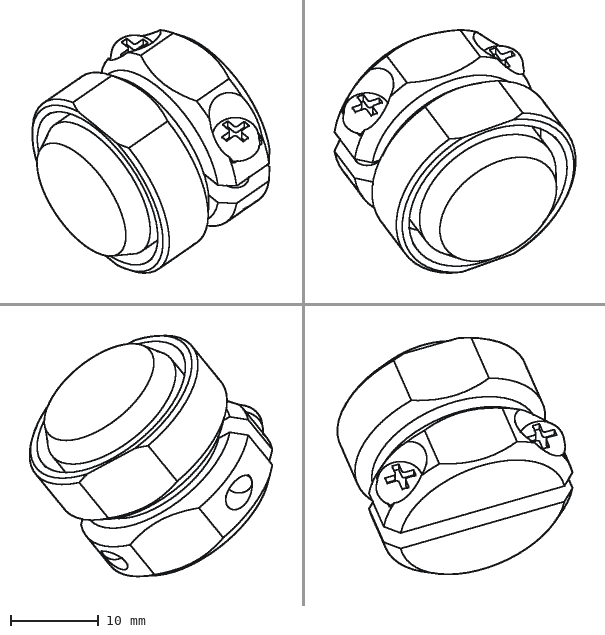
import cadquery as cq


body_radius = 11.5
body_length = 8.0
across_flats = 21.0
large_chamfer = 1.5
small_chamfer = 0.5

plug_projection = 2.5
neck_gap = 1.5
nut_front = plug_projection
nut_rear = nut_front + body_length
clamp_front = nut_rear + neck_gap
clamp_rear = clamp_front + body_length

plug_tip_radius = 7.48
plug_radius = 8.75
plug_cone_length = 2.6
recess_radius = 10.12
recess_depth = 6.5

upper_neck_radius = 6.8
lower_neck_radius = 8.5
slot_height = 3.0

screw_offset = 8.49
screw_y = (clamp_front + clamp_rear) / 2
seat_z = 4.48
counterbore_radius = 3.0
shank_radius = 1.5
shank_length = 10.0
head_height = 2.07
head_seat_radius = 2.75
head_shoulder_radius = 2.65
head_shoulder_height = 1.1
head_top_radius = 1.72
crown_sagitta = 0.23

cross_length = 2 * head_top_radius
cross_width = 0.8
cross_depth = 1.01
cross_corner_radius = 0.3


def cylinder_y(radius, y_start, y_end):
    return cq.Workplane("XZ", origin=(0, y_start, 0)).circle(radius).extrude(y_start - y_end)


def cylinder_z(radius, x, z_start, z_end):
    return cq.Workplane("XY", origin=(x, screw_y, z_start)).circle(radius).extrude(z_end - z_start)


def flatted_body(y_front, front_chamfer, rear_chamfer):
    """Chamfered disc with two opposite flats."""
    y_rear = y_front + body_length
    disc = (
        cylinder_y(body_radius, y_front, y_rear)
        .faces("<Y").chamfer(front_chamfer)
        .faces(">Y").chamfer(rear_chamfer)
    )
    slab = cq.Workplane("XY", origin=(0, (y_front + y_rear) / 2, 0)).box(
        2 * body_radius, body_length, across_flats
    )
    return disc.intersect(slab)


def plug():
    """Cone that widens to a short cylinder ending on the recess floor."""
    return (
        cq.Workplane("XY")
        .lineTo(plug_tip_radius, 0)
        .lineTo(plug_radius, plug_cone_length)
        .lineTo(plug_radius, nut_front + recess_depth)
        .lineTo(0, nut_front + recess_depth)
        .close()
        .revolve(360, (0, 0, 0), (0, 1, 0))
    )


def neck_half(radius, side):
    """Half of the neck above (side = 1) or below (side = -1) the XY plane."""
    half_space = cq.Workplane("XY", origin=(0, (nut_rear + clamp_front) / 2, side * radius / 2)).box(
        2 * radius, neck_gap, radius
    )
    return cylinder_y(radius, nut_rear, clamp_front).intersect(half_space)


def split_slot():
    slot_length = clamp_rear - nut_rear
    return cq.Workplane("XY", origin=(0, nut_rear + slot_length / 2, 0)).box(
        2 * body_radius, slot_length, slot_height
    )


def screw_hole(x):
    """Through hole for the shank with a counterbore open to the top."""
    shank_hole = cylinder_z(shank_radius, x, -body_radius, seat_z)
    return shank_hole.union(cylinder_z(counterbore_radius, x, seat_z, body_radius))


def cross_recess():
    bar = cq.Workplane("XY").rect(cross_length, cross_width).extrude(-cross_depth)
    cross = bar.union(bar.rotate((0, 0, 0), (0, 0, 1), 90))
    inner_edges = cq.selectors.BoxSelector(
        (-cross_width, -cross_width, -cross_depth), (cross_width, cross_width, 0)
    )
    return cross.edges("|Z").edges(inner_edges).fillet(cross_corner_radius)


def screw(x):
    """Pan-head screw: tapered rim, rounded shoulder, flat top with a cross recess."""
    body = (
        cq.Workplane("XZ")
        .moveTo(0, -shank_length)
        .lineTo(shank_radius, -shank_length)
        .lineTo(shank_radius, 0)
        .lineTo(head_seat_radius, 0)
        .lineTo(head_shoulder_radius, head_shoulder_height)
        .sagittaArc((head_top_radius, head_height), -crown_sagitta)
        .lineTo(0, head_height)
        .close()
        .revolve(360, (0, 0, 0), (0, 1, 0))
    )
    body = body.cut(cross_recess().translate((0, 0, head_height)))
    return body.translate((x, screw_y, seat_z))


nut = flatted_body(nut_front, small_chamfer, large_chamfer)
nut = nut.cut(cylinder_y(recess_radius, nut_front, nut_front + recess_depth))

clamp = flatted_body(clamp_front, large_chamfer, large_chamfer)
clamp = clamp.union(neck_half(upper_neck_radius, 1)).union(neck_half(lower_neck_radius, -1))
clamp = clamp.cut(split_slot())
for screw_x in (-screw_offset, screw_offset):
    clamp = clamp.cut(screw_hole(screw_x)).union(screw(screw_x))

result = nut.union(plug()).union(clamp)